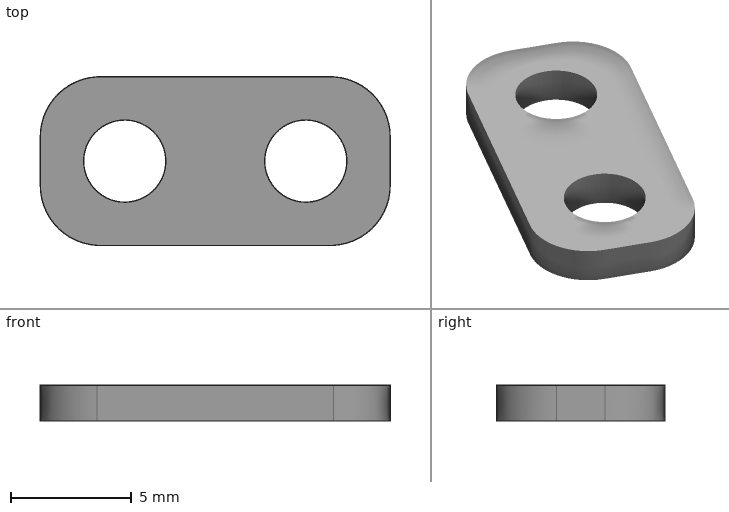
import cadquery as cq
import math

length = 14.5
width = 6.99
thickness = 1.5

corner_radius = 2.5
long_side_flat = 9.8

hole_diameter = 3.4
hole_spacing = 7.5

corner_centre_x = length / 2 - corner_radius
trimmed_run = long_side_flat / 2 - corner_centre_x
trim_depth = corner_radius - math.sqrt(corner_radius**2 - trimmed_run**2)
untrimmed_width = width + 2 * trim_depth


def rounded_plate():
    """Plate with rounded corners, trimmed to its final width."""
    rounded = (
        cq.Workplane("XY")
        .box(length, untrimmed_width, thickness)
        .edges("|Z")
        .fillet(corner_radius)
    )
    return rounded.intersect(cq.Workplane("XY").box(length, width, thickness))


def drill_holes(plate):
    """Cut the pair of through holes, placed symmetrically about the centre."""
    hole_centres = [(side * hole_spacing / 2, 0) for side in (-1, 1)]
    return plate.faces(">Z").workplane(origin=(0, 0, 0)).pushPoints(hole_centres).hole(hole_diameter)


result = drill_holes(rounded_plate())